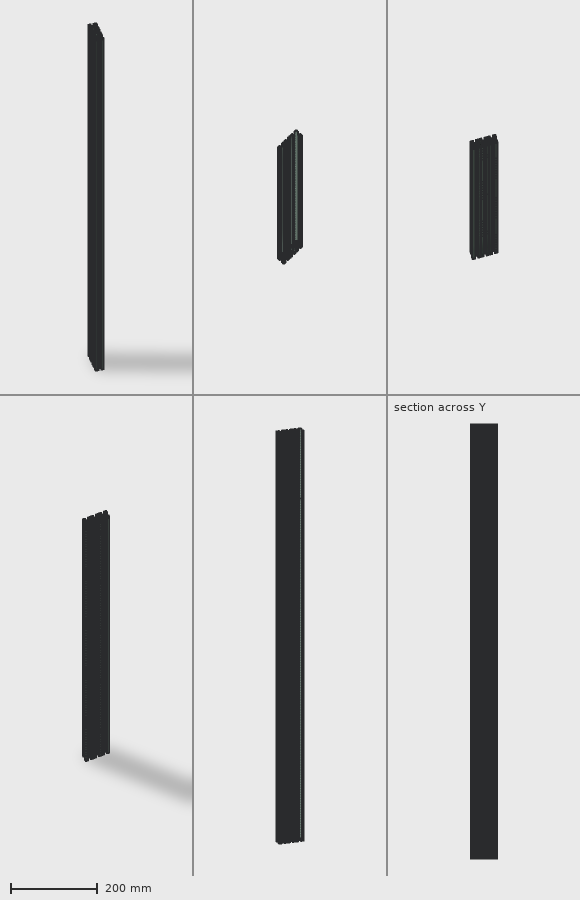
import cadquery as cq
import math

cell = 20.0
cell_count = 3
length = 1000.0
width = cell * cell_count
corner_radius = 1.5

slot_opening = 6.8
lip_thickness = 2.5
slot_inner_width = 11.0
slot_depth = 5.6
slot_floor_width = 3.4
slot_floor_slope = 18.0
slot_slope_run = (slot_inner_width - slot_floor_width) / 2
slot_side_depth = slot_depth - slot_slope_run * math.tan(math.radians(slot_floor_slope))

bore_diameter = 4.3

hollow_width = 12.0
hollow_height = 15.0
hollow_chamfer = 5.0

groove_width = 1.8
groove_depth = 0.5

cell_centers = [(i - (cell_count - 1) / 2) * cell for i in range(cell_count)]
joint_centers = [(a + b) / 2 for a, b in zip(cell_centers, cell_centers[1:])]


def make_slot():
    """T-slot cutter opening on the -Y side of a cell at the origin."""
    face = -cell / 2
    right_half = [
        (slot_opening / 2, face),
        (slot_opening / 2, face + lip_thickness),
        (slot_inner_width / 2, face + lip_thickness),
        (slot_inner_width / 2, face + slot_side_depth),
        (slot_floor_width / 2, face + slot_depth),
    ]
    left_half = [(-x, y) for x, y in reversed(right_half)]
    outline = cq.Workplane("XY").polyline(right_half + left_half).close()
    return outline.extrude(length / 2, both=True)


def make_hollow():
    """Cutter for the passage between two cells, centred on the origin."""
    block = cq.Workplane("XY").box(hollow_width, hollow_height, length)
    return block.edges("|Z").chamfer(hollow_chamfer)


front_slot = make_slot()
back_slot = front_slot.mirror("XZ")
left_end_slot = front_slot.rotate((0, 0, 0), (0, 0, 1), -90).translate((cell_centers[0], 0, 0))
right_end_slot = left_end_slot.mirror("YZ")
bore = cq.Workplane("XY").circle(bore_diameter / 2).extrude(length / 2, both=True)
hollow = make_hollow()
groove = cq.Workplane("XY").box(groove_width, 2 * groove_depth, length)
front_groove = groove.translate((0, -cell / 2, 0))
back_groove = groove.translate((0, cell / 2, 0))

result = cq.Workplane("XY").box(width, cell, length).edges("|Z").fillet(corner_radius)

for x in cell_centers:
    for cutter in (front_slot, back_slot, bore):
        result = result.cut(cutter.translate((x, 0, 0)))

for x in joint_centers:
    for cutter in (hollow, front_groove, back_groove):
        result = result.cut(cutter.translate((x, 0, 0)))

result = result.cut(left_end_slot).cut(right_end_slot)